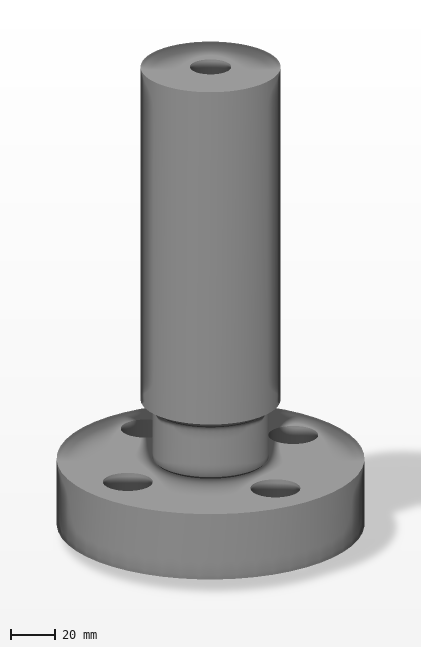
import cadquery as cq

total_height = 228.5

flange_diameter = 139.7
barrel_diameter = 63.5
neck_diameter = 52.8
raised_face_diameter = 43.0
bore_diameter = 18.7

raised_face_height = 6.5
flange_thickness = 31.8
neck_height = 25.4
shoulder_height = 3.5
neck_chamfer = 1.1

bolt_hole_count = 4
bolt_hole_diameter = 22.6
bolt_circle_diameter = 95.3

flange_top = raised_face_height + flange_thickness
neck_top = flange_top + neck_height
barrel_bottom = neck_top + shoulder_height


def turned_body():
    """Revolve the half section: raised face, flange, neck, conical shoulder and barrel."""
    flange_radius = flange_diameter / 2
    barrel_radius = barrel_diameter / 2
    neck_radius = neck_diameter / 2
    raised_face_radius = raised_face_diameter / 2
    section = (
        cq.Workplane("XZ")
        .moveTo(0, 0)
        .lineTo(raised_face_radius, 0)
        .lineTo(raised_face_radius, raised_face_height)
        .lineTo(flange_radius, raised_face_height)
        .lineTo(flange_radius, flange_top)
        .lineTo(neck_radius - neck_chamfer, flange_top)
        .lineTo(neck_radius, flange_top + neck_chamfer)
        .lineTo(neck_radius, neck_top)
        .lineTo(barrel_radius, barrel_bottom)
        .lineTo(barrel_radius, total_height)
        .lineTo(0, total_height)
        .close()
    )
    return section.revolve(360, (0, 0, 0), (0, 1, 0))


def bore():
    """Straight bore through the full length."""
    return cq.Workplane("XY").circle(bore_diameter / 2).extrude(total_height)


def bolt_holes():
    """Cylinders on the bolt circle, through the flange, with holes on the X and Y axes."""
    return (
        cq.Workplane("XY")
        .workplane(offset=raised_face_height)
        .polarArray(bolt_circle_diameter / 2, 0, 360, bolt_hole_count)
        .circle(bolt_hole_diameter / 2)
        .extrude(flange_thickness)
    )


result = turned_body().cut(bore()).cut(bolt_holes())